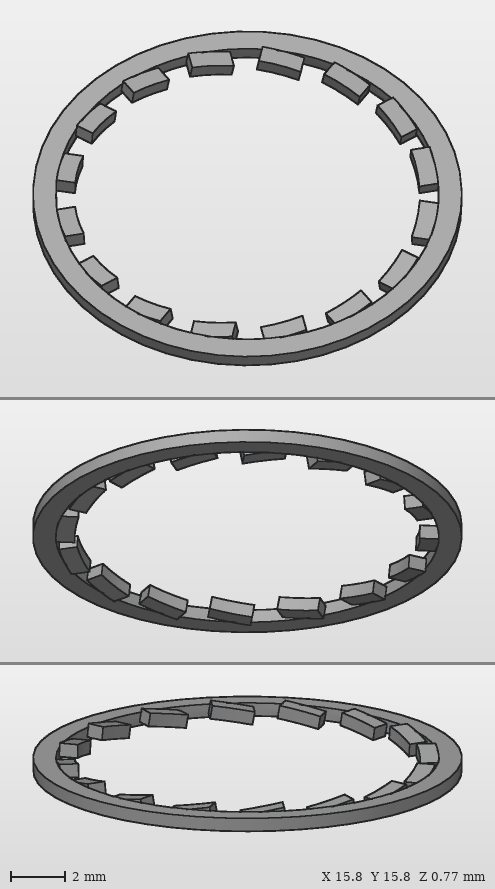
import cadquery as cq

outer_diameter = 15.8
bore_diameter = 14.11
tooth_tip_diameter = 12.72
thickness = 0.5
tooth_count = 16
tooth_width = 1.6
twist_angle = 10.0

tooth_pitch = 360.0 / tooth_count


def annulus(outer, inner, height):
    """Flat ring of the given diameters, centred on the origin."""
    flat = cq.Workplane("XY", origin=(0, 0, -height / 2)).circle(outer / 2).circle(inner / 2)
    return flat.extrude(height)


def twisted_bar(angle):
    """Straight bar running outward from the axis, twisted and placed at an angle."""
    bar = cq.Workplane("XY").box(outer_diameter / 2, tooth_width, thickness, centered=(False, True, True))
    twisted = bar.rotate((0, 0, 0), (1, 0, 0), twist_angle)
    return twisted.rotate((0, 0, 0), (0, 0, 1), angle)


tooth_zone = annulus(bore_diameter, tooth_tip_diameter, tooth_width)

result = annulus(outer_diameter, bore_diameter, thickness)
for index in range(tooth_count):
    tooth = twisted_bar(index * tooth_pitch).intersect(tooth_zone)
    result = result.union(tooth)